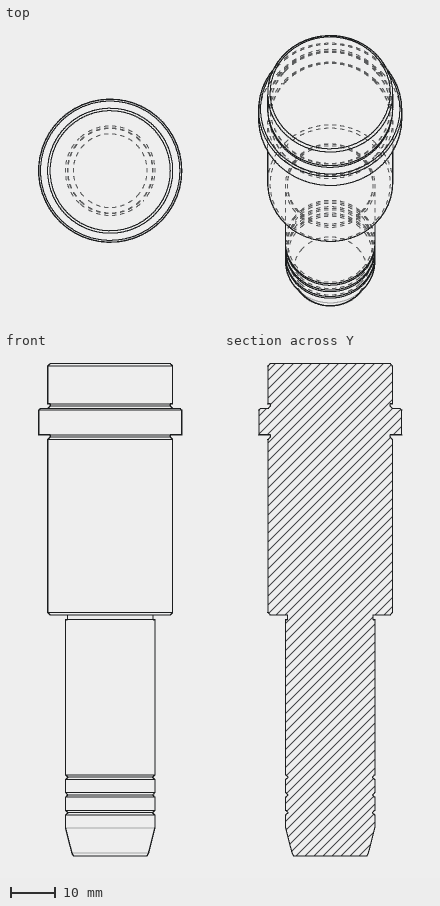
import cadquery as cq

total_length = 110.0
tip_edge = 0.7
nose_height = 6.3
shank_top = 52.8
body_bottom = 53.8
body_top = 93.1
collar_bottom = 94.0
collar_top = 100.0
head_bottom = 101.0
neck_flare_height = 0.5

edge_chamfer = 0.5
collar_chamfer = 0.4

tip_radius = 8.2
nose_end_radius = 8.6
shank_radius = 10.0
shank_neck_radius = 9.6
body_radius = 14.0
body_neck_radius = body_radius - edge_chamfer
collar_diameter = 32.0
collar_radius = collar_diameter / 2

groove_width = 1.0
groove_depth = 0.5
groove_pitch = 4.0
groove_count = 3
lowest_groove_center = 9.7


def turned_blank():
    """Solid of revolution: nose, shank, body, collar and head."""
    half_profile = [
        (0, 0),
        (tip_radius, 0),
        (nose_end_radius, tip_edge),
        (shank_radius, nose_height),
        (shank_radius, shank_top),
        (shank_neck_radius, shank_top),
        (shank_neck_radius, body_bottom),
        (body_radius - edge_chamfer, body_bottom),
        (body_radius, body_bottom + edge_chamfer),
        (body_radius, body_top),
        (body_neck_radius, body_top + neck_flare_height),
        (body_neck_radius, collar_bottom),
        (collar_radius, collar_bottom),
        (collar_radius, collar_top - collar_chamfer),
        (collar_radius - collar_chamfer, collar_top),
        (body_radius, collar_top),
        (body_neck_radius, collar_top + neck_flare_height),
        (body_neck_radius, head_bottom),
        (body_radius, head_bottom),
        (body_radius, total_length - edge_chamfer),
        (body_radius - edge_chamfer, total_length),
        (0, total_length),
    ]
    return cq.Workplane("XZ").polyline(half_profile).close().revolve(360, (0, 0), (0, 1))


def shank_groove(center_height):
    """Ring that cuts a V groove around the shank."""
    profile = [
        (shank_radius, center_height - groove_width / 2),
        (shank_radius - groove_depth, center_height),
        (shank_radius, center_height + groove_width / 2),
    ]
    return cq.Workplane("XZ").polyline(profile).close().revolve(360, (0, 0), (0, 1))


result = turned_blank()
for index in range(groove_count):
    result = result.cut(shank_groove(lowest_groove_center + index * groove_pitch))